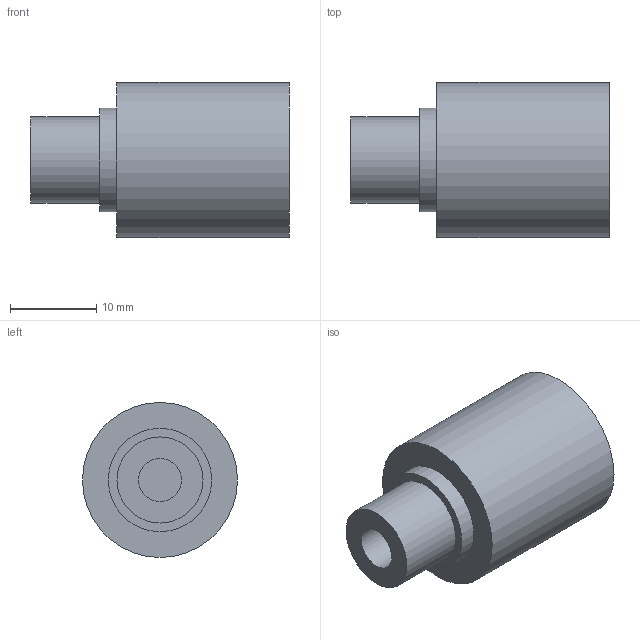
import cadquery as cq

spigot_diameter = 10.0
spigot_length = 8.0
collar_diameter = 12.0
collar_length = 2.0
body_diameter = 18.0
body_length = 20.0

bore_diameter = 5.0
bore_depth = spigot_length + collar_length


def cylinder_along_x(start_x, diameter, length):
    """Solid cylinder on the X axis, running toward +X from start_x."""
    plane = cq.Workplane("YZ", origin=(start_x, 0, 0))
    return plane.circle(diameter / 2).extrude(length)


collar_start = spigot_length
body_start = collar_start + collar_length

spigot = cylinder_along_x(0, spigot_diameter, spigot_length)
collar = cylinder_along_x(collar_start, collar_diameter, collar_length)
body = cylinder_along_x(body_start, body_diameter, body_length)
bore = cylinder_along_x(0, bore_diameter, bore_depth)

result = spigot.union(collar).union(body).cut(bore)